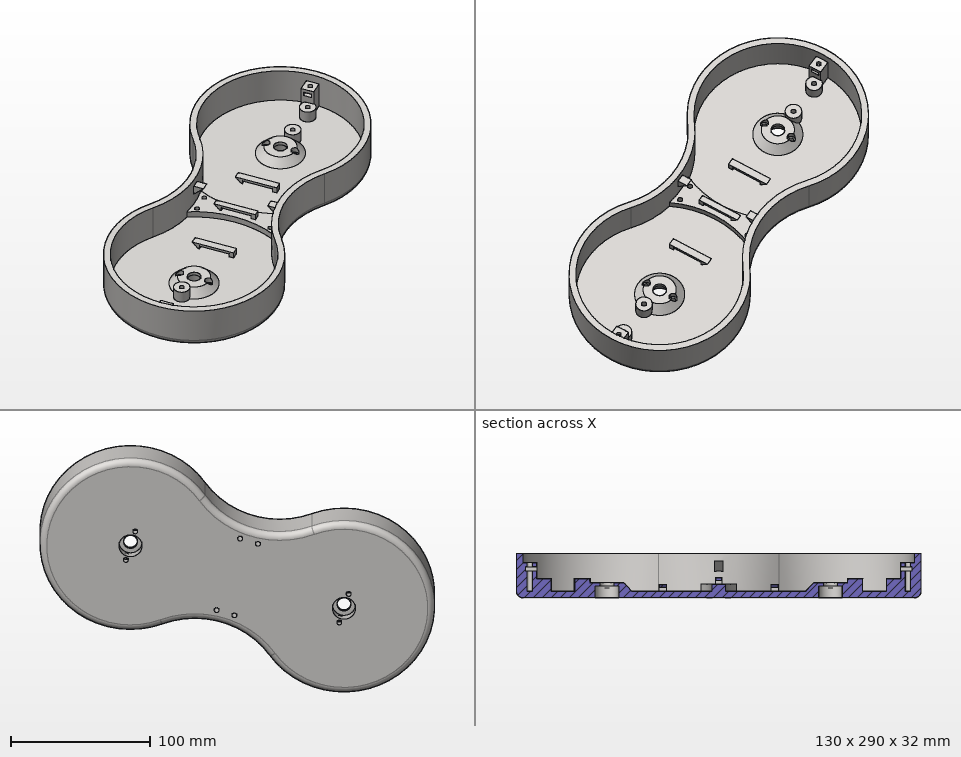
import cadquery as cq
import math

lobe_radius = 65.0
lobe_offset = 80.0
waist_radius = lobe_radius
wall_thickness = 5.0
total_height = 32.0
floor_top = 5.0
bottom_fillet = 5.0

hub_base_radius = 18.0
hub_top_radius = 12.0
hub_height = 6.0
hub_bore_diameter = 10.0
hub_recess_diameter = 16.5
hub_cap_thickness = 2.5
hub_screw_spacing = 22.5
hub_screw_diameter = 3.5
hub_screw_head_diameter = 5.8
hub_screw_head_depth = 4.0

post_diameter = 12.0
post_hole_diameter = 3.5
post_height = 9.0
post_shift = 2.18
post_distances = (17.7, 45.5)

block_top = 25.2
block_width = 10.0
block_inner_distance = 50.2
block_hole_distance = 55.5
block_hole_diameter = 3.5
nut_slot_width = 6.0
nut_slot_height = 3.0
nut_slot_depth = 8.0
nut_slot_cover = 3.0

plate_height = 5.0
plate_edge_radius = 75.0
plate_hole_x = 28.5
plate_hole_y = 6.7
plate_hole_diameter = 3.5
wedge_tip_x = 25.0
wedge_top = 26.5
wedge_width = 6.0
wedge_height = 7.5
wedge_reach = 7.8
bridge_length = 32.2
middle_bridge_width = 4.5
outer_bridge_width = 5.5
bridge_shift = -1.02
bridge_height = 4.5
bridge_beam_thickness = 2.0
bridge_leg_length = 3.5
bridge_undercut = bridge_height


def cylinder(diameter, height, x, y, z):
    return cq.Workplane("XY", origin=(x, y, z)).circle(diameter / 2).extrude(height)


def box_on(length, width, height, x, y, z):
    """Box centred on x and y, standing on z."""
    return cq.Workplane("XY", origin=(x, y, z)).box(length, width, height, centered=(True, True, False))


def outline(inset, z, height):
    """Solid with the two-lobe outline moved inward by inset."""
    lobe = lobe_radius - inset
    waist_centre_x = math.sqrt((lobe_radius + waist_radius) ** 2 - lobe_offset**2)
    waist_x = waist_centre_x - waist_radius - inset
    share = lobe / (lobe_radius + waist_radius)
    tangent_x = waist_centre_x * share
    tangent_y = lobe_offset * (1 - share)
    end_y = lobe_offset + lobe
    return (
        cq.Workplane("XY", origin=(0, 0, z))
        .moveTo(tangent_x, tangent_y)
        .threePointArc((0, end_y), (-tangent_x, tangent_y))
        .threePointArc((-waist_x, 0), (-tangent_x, -tangent_y))
        .threePointArc((0, -end_y), (tangent_x, -tangent_y))
        .threePointArc((waist_x, 0), (tangent_x, tangent_y))
        .close()
        .extrude(height)
    )


def shell():
    body = outline(0, 0, total_height).faces("<Z").edges().fillet(bottom_fillet)
    return body.cut(outline(wall_thickness, floor_top, total_height))


def waist_plate():
    plate = outline(wall_thickness, floor_top, plate_height)
    for side in (1, -1):
        plate = plate.cut(cylinder(2 * plate_edge_radius, total_height, 0, side * lobe_offset, 0))
    return plate


def wedge():
    """Wedge on the +X waist wall: flat on top, sloping underneath."""
    root_x = wedge_tip_x + wedge_reach
    embedded_x = root_x + wall_thickness / 2
    return (
        cq.Workplane("XZ", origin=(0, wedge_width / 2, 0))
        .moveTo(wedge_tip_x, wedge_top)
        .lineTo(embedded_x, wedge_top)
        .lineTo(embedded_x, wedge_top - wedge_height)
        .lineTo(root_x, wedge_top - wedge_height)
        .close()
        .extrude(wedge_width)
    )


def cable_bridge(y, base_z, width):
    """Low beam on two end legs, open underneath along Y."""
    left = bridge_shift - bridge_length / 2
    right = bridge_shift + bridge_length / 2
    opening_right = right - bridge_leg_length
    opening_height = bridge_height - bridge_beam_thickness
    return (
        cq.Workplane("XZ", origin=(0, y + width / 2, base_z))
        .moveTo(left, bridge_height)
        .lineTo(right, bridge_height)
        .lineTo(right, 0)
        .lineTo(opening_right, 0)
        .lineTo(opening_right, opening_height)
        .lineTo(-opening_right, opening_height)
        .lineTo(-opening_right, 0)
        .lineTo(left + bridge_undercut, 0)
        .close()
        .extrude(width)
    )


def hub():
    return (
        cq.Workplane("XY", origin=(0, lobe_offset, floor_top))
        .circle(hub_base_radius)
        .workplane(offset=hub_height)
        .circle(hub_top_radius)
        .loft(ruled=True)
    )


def hub_holes():
    hub_top = floor_top + hub_height
    holes = cylinder(hub_bore_diameter, hub_top, 0, lobe_offset, 0)
    holes = holes.union(cylinder(hub_recess_diameter, hub_top - hub_cap_thickness, 0, lobe_offset, 0))
    for side in (1, -1):
        x = side * hub_screw_spacing / 2
        head_z = hub_top - hub_screw_head_depth
        holes = holes.union(cylinder(hub_screw_diameter, hub_top, x, lobe_offset, 0))
        holes = holes.union(cylinder(hub_screw_head_diameter, hub_screw_head_depth, x, lobe_offset, head_z))
    return holes


def post(distance):
    return cylinder(post_diameter, post_height, post_shift, lobe_offset + distance, floor_top)


def post_hole(distance):
    return cylinder(post_hole_diameter, post_height, post_shift, lobe_offset + distance, floor_top)


def screw_block():
    block_length = lobe_radius - wall_thickness / 2 - block_inner_distance
    block_y = lobe_offset + block_inner_distance + block_length / 2
    return box_on(block_width, block_length, block_top - floor_top, 0, block_y, floor_top)


def screw_block_holes():
    """Vertical screw hole and the nut slot that crosses it."""
    hole_y = lobe_offset + block_hole_distance
    hole = cylinder(block_hole_diameter, block_top - floor_top, 0, hole_y, floor_top)
    slot_y = lobe_offset + block_inner_distance + nut_slot_depth / 2
    slot_z = block_top - nut_slot_cover - nut_slot_height
    return hole.union(box_on(nut_slot_width, nut_slot_depth, nut_slot_height, 0, slot_y, slot_z))


def half_turn(shape):
    return shape.rotate((0, 0, 0), (0, 0, 1), 180)


lobe_solids = hub().union(screw_block())
for distance in post_distances:
    lobe_solids = lobe_solids.union(post(distance))
lobe_cuts = hub_holes().union(screw_block_holes())
for distance in post_distances:
    lobe_cuts = lobe_cuts.union(post_hole(distance))

result = shell().union(waist_plate())
for solid in (lobe_solids, wedge()):
    result = result.union(solid).union(half_turn(solid))
result = result.cut(lobe_cuts).cut(half_turn(lobe_cuts))

for x in (plate_hole_x, -plate_hole_x):
    for y in (plate_hole_y, -plate_hole_y):
        result = result.cut(cylinder(plate_hole_diameter, floor_top + plate_height, x, y, 0))

result = result.union(cable_bridge(0, floor_top + plate_height, middle_bridge_width))
for y in (lobe_offset / 2, -lobe_offset / 2):
    result = result.union(cable_bridge(y, floor_top, outer_bridge_width))